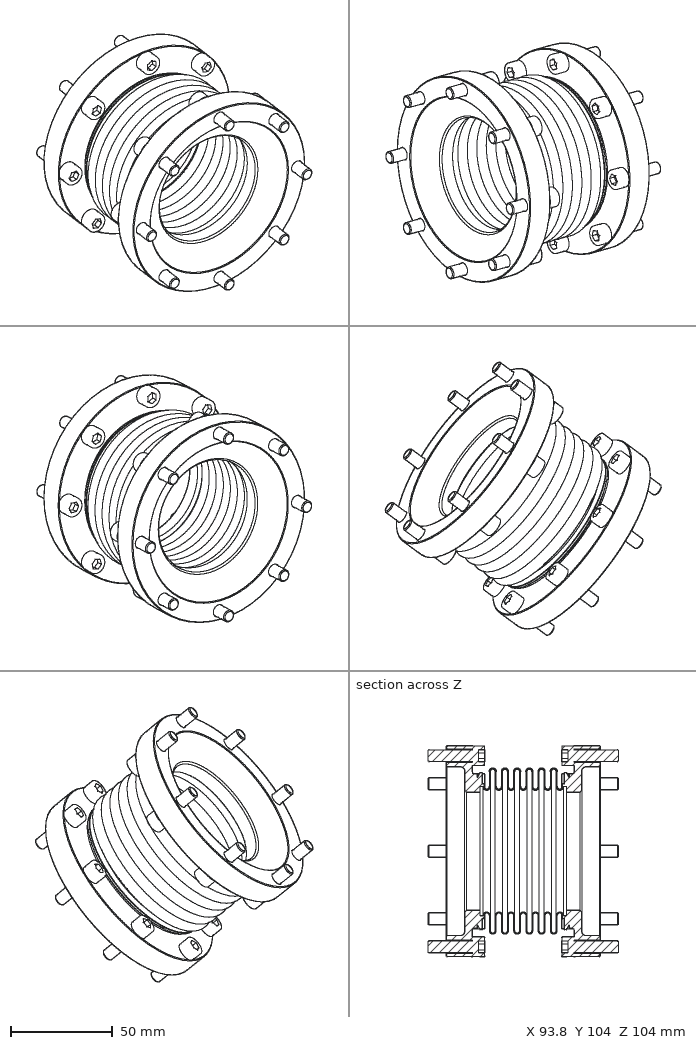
import cadquery as cq
import math

overall_length = 93.8

flange_dia = 104.0
flange_thickness = 13.0
flange_outer_face = 38.0
flange_inner_face = flange_outer_face - flange_thickness
flange_chamfer = 0.4

recess_dia = 83.0
recess_depth = 9.2
recess_chamfer = 0.4
recess_fillet = 2.1
bore_dia = 58.0
bore_chamfer = 0.9

pitch = 6.0
convolutions = 6
crest_dia = 82.0
root_dia = 61.2
wall = 0.6
crest_radius = (pitch / 2 + wall) / 2
root_radius = pitch / 2 - crest_radius
end_root = pitch * convolutions / 2
bore_end = 21.2

neck_dia = 76.0
neck_fillet = 1.0
neck_length = 2.4
rim_dia = 77.6
rim_start = 3.7
groove_dia = 72.8
rim_end = 4.9
rim_chamfer = 0.2
cuff_dia = 66.6
collar_end = end_root + root_radius

bolt_count = 8
bolt_circle_dia = 94.0
shank_dia = 6.0
bolt_hole_dia = 6.5
shank_chamfer = 0.5
head_dia = 10.0
head_height = 6.0
head_fillet = 0.4
socket_across_flats = 5.0
socket_depth = 3.0


def both_ends(left_end):
    """Join the end at -X with its mirror image at +X."""
    return left_end.union(left_end.mirror("YZ"))


def around_x(profile):
    """Revolve a closed profile drawn in XY about the X axis."""
    return profile.close().revolve(360, (0, 0, 0), (1, 0, 0))


def flange_ring():
    """Left flange with its collar, recess and bore."""
    outer = -flange_outer_face
    inner = -flange_inner_face
    floor = outer + recess_depth
    arc_mid = 1 - math.sqrt(0.5)
    flange_r = flange_dia / 2
    recess_r = recess_dia / 2
    bore_r = bore_dia / 2
    neck_r = neck_dia / 2
    rim_r = rim_dia / 2
    profile = (
        cq.Workplane("XY")
        .moveTo(outer + recess_chamfer, recess_r)
        .lineTo(outer, recess_r + recess_chamfer)
        .lineTo(outer, flange_r - flange_chamfer)
        .lineTo(outer + flange_chamfer, flange_r)
        .lineTo(inner - flange_chamfer, flange_r)
        .lineTo(inner, flange_r - flange_chamfer)
        .lineTo(inner, neck_r + neck_fillet)
        .threePointArc(
            (inner + neck_fillet * arc_mid, neck_r + neck_fillet * arc_mid),
            (inner + neck_fillet, neck_r),
        )
        .lineTo(inner + neck_length, neck_r)
        .lineTo(inner + neck_length, groove_dia / 2)
        .lineTo(inner + rim_start, rim_r)
        .lineTo(inner + rim_end - rim_chamfer, rim_r)
        .lineTo(inner + rim_end, rim_r - rim_chamfer)
        .lineTo(inner + rim_end, cuff_dia / 2)
        .lineTo(-collar_end, cuff_dia / 2)
        .lineTo(-collar_end, bore_r)
        .lineTo(floor + bore_chamfer, bore_r)
        .lineTo(floor, bore_r + bore_chamfer)
        .lineTo(floor, recess_r - recess_fillet)
        .threePointArc(
            (floor - recess_fillet * arc_mid, recess_r - recess_fillet * arc_mid),
            (floor - recess_fillet, recess_r),
        )
    )
    return around_x(profile)


def add_convolutions(profile, crest_r, crest_arc, root_r, root_arc):
    """Continue a profile with half-round roots and crests joined by straight flanks.

    The profile must have reached the outer end of the first root.
    """
    flank_bottom = root_r + root_arc
    flank_top = crest_r - crest_arc
    profile = profile.threePointArc((-end_root, root_r), (-end_root + root_arc, flank_bottom))
    for i in range(convolutions):
        crest_x = -end_root + (i + 0.5) * pitch
        root_x = crest_x + pitch / 2
        profile = (
            profile.lineTo(crest_x - crest_arc, flank_top)
            .threePointArc((crest_x, crest_r), (crest_x + crest_arc, flank_top))
            .lineTo(crest_x + crest_arc, flank_bottom)
            .threePointArc((root_x, root_r), (root_x + root_arc, flank_bottom))
        )
    return profile


def bellows_body():
    """Bellows filled down to the bore, with its end roots running out into the collar faces."""
    root_r = root_dia / 2
    bore_r = bore_dia / 2
    profile = (
        cq.Workplane("XY")
        .moveTo(-collar_end, bore_r)
        .lineTo(-collar_end, root_r + root_radius)
    )
    profile = add_convolutions(profile, crest_dia / 2, crest_radius, root_r, root_radius)
    return around_x(profile.lineTo(collar_end, bore_r))


def bellows_cavity():
    """Space inside the bellows wall, with a narrow groove behind the end of each bore."""
    root_r = root_dia / 2 - wall
    root_arc = root_radius + wall
    groove_r = root_r + root_arc
    profile = (
        cq.Workplane("XY")
        .moveTo(-bore_end, 0)
        .lineTo(-bore_end, groove_r)
        .lineTo(-end_root - root_arc, groove_r)
    )
    profile = add_convolutions(
        profile, crest_dia / 2 - wall, crest_radius - wall, root_r, root_arc
    )
    return around_x(profile.lineTo(bore_end, groove_r).lineTo(bore_end, 0))


def at_bolt_positions(body):
    """Copies of a body, lying on the X axis, at every place of the bolt circle."""
    copies = cq.Workplane("XY")
    first = body.translate((0, 0, bolt_circle_dia / 2))
    for i in range(bolt_count):
        copies = copies.add(first.rotate((0, 0, 0), (1, 0, 0), i * 360 / bolt_count))
    return copies.combine()


def bolt():
    """Left-end bolt on the X axis, with its head against the inner flange face."""
    tip = -overall_length / 2
    shank = (
        cq.Workplane("YZ", origin=(tip, 0, 0))
        .circle(shank_dia / 2)
        .extrude(-flange_inner_face - tip)
        .faces("<X")
        .chamfer(shank_chamfer)
    )
    head = (
        cq.Workplane("YZ", origin=(-flange_inner_face, 0, 0))
        .circle(head_dia / 2)
        .extrude(head_height)
        .faces(">X")
        .edges()
        .fillet(head_fillet)
    )
    socket = (
        cq.Workplane("YZ", origin=(-flange_inner_face + head_height, 0, 0))
        .transformed(rotate=(0, 0, 30))
        .polygon(6, socket_across_flats / math.cos(math.pi / 6))
        .extrude(-socket_depth)
    )
    return shank.union(head).cut(socket)


def bolt_hole():
    """Clearance hole through the left flange, on the X axis."""
    return (
        cq.Workplane("YZ", origin=(-flange_outer_face, 0, 0))
        .circle(bolt_hole_dia / 2)
        .extrude(flange_thickness)
    )


left_end = flange_ring().cut(at_bolt_positions(bolt_hole())).union(at_bolt_positions(bolt()))
result = both_ends(left_end).union(bellows_body()).cut(bellows_cavity())